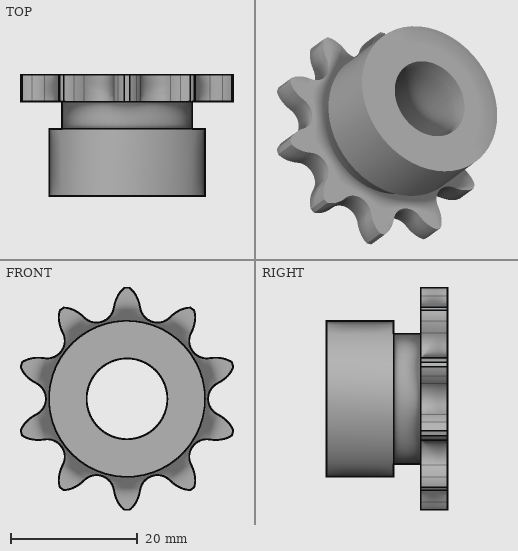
import cadquery as cq
import math


total_length = 19.15
plate_thickness = 4.27
neck_length = 4.27
hub_length = total_length - plate_thickness - neck_length

hub_diameter = 24.6
neck_diameter = 20.6
bore_diameter = 12.7

tooth_count = 10
tooth_pitch_angle = 360 / tooth_count
tip_height = 35.03 / 2
tip_half_width = 0.395
root_radius = 12.8
seat_radius = 2.75
seat_end_height = 14.4
shoulder_height = 16.25
shoulder_half_width = 1.46
flank_bulge = 0.085
shoulder_bulge = 0.085

half_pitch = math.radians(tooth_pitch_angle / 2)
seat_center_radius = root_radius + seat_radius
seat_center_across = seat_center_radius * math.sin(half_pitch)
seat_center_height = seat_center_radius * math.cos(half_pitch)
seat_end_drop = seat_center_height - seat_end_height
seat_end_half_width = seat_center_across - math.sqrt(seat_radius**2 - seat_end_drop**2)


def arc_middle(start, end, bulge):
    """Middle of an arc that bows to the left of the chord from start to end."""
    across = end[0] - start[0]
    outward = end[1] - start[1]
    chord = math.hypot(across, outward)
    middle_across = (start[0] + end[0]) / 2 - bulge * outward / chord
    middle_outward = (start[1] + end[1]) / 2 + bulge * across / chord
    return (middle_across, middle_outward)


def mirrored(point):
    """The matching point on the other side of the tooth."""
    return (-point[0], point[1])


def turned(point, angle):
    """Turn a point clockwise about the sprocket axis, by degrees."""
    turn = math.radians(angle)
    across = point[0] * math.cos(turn) + point[1] * math.sin(turn)
    outward = point[1] * math.cos(turn) - point[0] * math.sin(turn)
    return (across, outward)


def make_toothed_plate():
    """Sprocket plate, from the back face at Y = 0 towards -Y."""
    tip = (tip_half_width, tip_height)
    shoulder = (shoulder_half_width, shoulder_height)
    seat_end = (seat_end_half_width, seat_end_height)
    shoulder_middle = arc_middle(tip, shoulder, shoulder_bulge)
    flank_middle = arc_middle(shoulder, seat_end, flank_bulge)
    root = turned((0, root_radius), tooth_pitch_angle / 2)
    next_seat_end = turned(mirrored(seat_end), tooth_pitch_angle)

    outline = cq.Workplane("XZ").moveTo(*mirrored(seat_end))
    for tooth in range(tooth_count):
        angle = tooth * tooth_pitch_angle
        outline = (
            outline
            .threePointArc(turned(mirrored(flank_middle), angle), turned(mirrored(shoulder), angle))
            .threePointArc(turned(mirrored(shoulder_middle), angle), turned(mirrored(tip), angle))
            .lineTo(*turned(tip, angle))
            .threePointArc(turned(shoulder_middle, angle), turned(shoulder, angle))
            .threePointArc(turned(flank_middle, angle), turned(seat_end, angle))
            .threePointArc(turned(root, angle), turned(next_seat_end, angle))
        )
    return outline.close().extrude(plate_thickness)


def add_hub(body):
    """Narrow neck in front of the plate, then the wider hub."""
    return (
        body.faces("<Y").workplane(origin=(0, -plate_thickness, 0))
        .circle(neck_diameter / 2).extrude(neck_length)
        .faces("<Y").workplane(origin=(0, -plate_thickness - neck_length, 0))
        .circle(hub_diameter / 2).extrude(hub_length)
    )


def cut_bore(body):
    """Plain bore through the whole length."""
    bore = cq.Workplane("XZ").circle(bore_diameter / 2).extrude(total_length)
    return body.cut(bore)


result = cut_bore(add_hub(make_toothed_plate()))